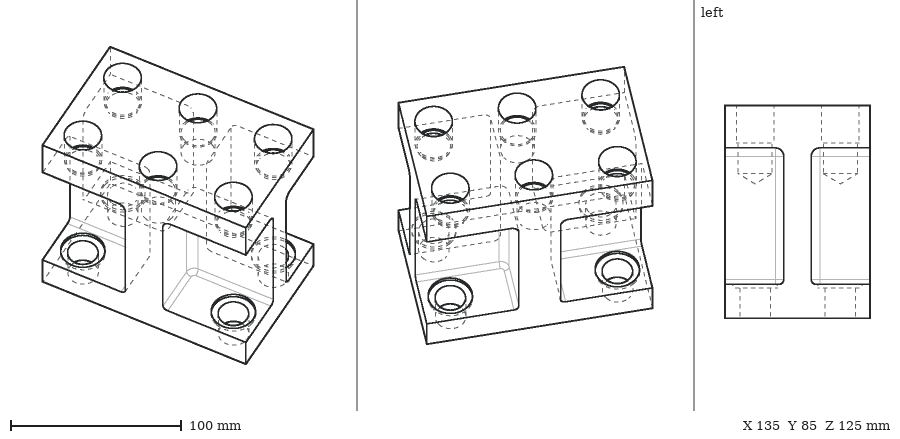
import cadquery as cq
import math

length = 135.0
width = 85.0
height = 125.0

top_thickness = 25.0
bottom_thickness = 20.0
column_x = 25.0
column_y = 16.0
large_fillet = 5.0
lower_fillet = 3.0

pitch_x = 50.0
pitch_y = 50.0
thread_diameter = 22.0
thread_depth = 22.0
core_diameter = 20.0
foot_hole_diameter = 18.0
spotface_diameter = 26.0
spotface_depth = 2.0
blind_depth = 40.0
drill_point_angle = 118.0

pocket_height = height - top_thickness - bottom_thickness


def corner_pocket(side_x, side_y):
    """Pocket in one corner, rounded only where it meets the column and flanges."""
    pocket = (
        cq.Workplane("XY", origin=(side_x * column_x / 2, side_y * column_y / 2, bottom_thickness))
        .rect(side_x * length, side_y * width, centered=False)
        .extrude(pocket_height)
    )
    inner_x = "<X" if side_x > 0 else ">X"
    inner_y = "<Y" if side_y > 0 else ">Y"
    upright = f"(|Z and {inner_x} and {inner_y})"
    ceiling_edges = f"(>Z and ({inner_x} or {inner_y}))"
    pocket = pocket.edges(f"{upright} or {ceiling_edges}").fillet(large_fillet)
    inner_rim = f"({inner_x} or {inner_y} or %CIRCLE)"
    return pocket.edges(f"{inner_rim} and <Z").fillet(lower_fillet)


def vertical_cylinder(x, y, diameter, bottom, top):
    """Cylinder parallel to Z between two heights."""
    return cq.Workplane("XY", origin=(x, y, bottom)).circle(diameter / 2).extrude(top - bottom)


def tapped_hole(x, y, core_bottom):
    """Tapped hole in the top face, continuing below the thread at core diameter."""
    thread = vertical_cylinder(x, y, thread_diameter, height - thread_depth, height)
    core = vertical_cylinder(x, y, core_diameter, core_bottom, height)
    return thread.union(core)


def drill_point(x, y, base):
    """Downward cone that ends a blind hole of core diameter."""
    radius = core_diameter / 2
    depth = radius / math.tan(math.radians(drill_point_angle / 2))
    return cq.Workplane(cq.Solid.makeCone(radius, 0, depth, cq.Vector(x, y, base), cq.Vector(0, 0, -1)))


def foot_hole(x, y):
    """Through hole in the bottom flange with a shallow spotface."""
    hole = vertical_cylinder(x, y, foot_hole_diameter, 0, bottom_thickness)
    spotface_floor = bottom_thickness - spotface_depth
    spotface = vertical_cylinder(x, y, spotface_diameter, spotface_floor, bottom_thickness)
    return hole.union(spotface)


top_flange_bottom = height - top_thickness
blind_bottom = height - blind_depth

result = cq.Workplane("XY").box(length, width, height, centered=(True, True, False))
for side_y in (-1, 1):
    hole_y = side_y * pitch_y / 2
    result = result.cut(tapped_hole(0, hole_y, blind_bottom))
    result = result.cut(drill_point(0, hole_y, blind_bottom))
    for side_x in (-1, 1):
        hole_x = side_x * pitch_x
        result = result.cut(corner_pocket(side_x, side_y))
        result = result.cut(tapped_hole(hole_x, hole_y, top_flange_bottom))
        result = result.cut(foot_hole(hole_x, hole_y))